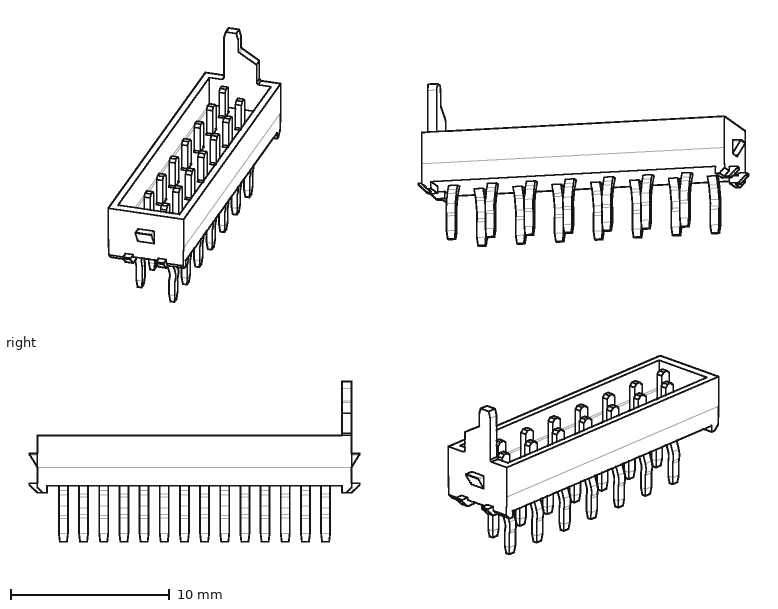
import cadquery as cq
import math

HALF_WIDTH = 2.5
HALF_LENGTH = 9.88
RIM_Z = 3.62
BREAK_Z = 1.62
SIDE_LEAN = 0.052
UNDERSIDE_Z = 0.44
FLOOR_Z = 1.7
CAVITY_HALF_WIDTH = 2.04
FLOOR_FILLET = 0.08
END_WALL = 0.6
CAVITY_HALF_LENGTH = HALF_LENGTH - END_WALL

FOOT_INNER_X = 0.83
FOOT_CHAMFER = 0.33
OVERALL_HALF_LENGTH = 10.4
HOOK_WIDTH = 0.52
HOOK_TOP_Z = 0.6
HOOK_LIP = 0.1
WEDGE_HALF_WIDTH = 0.55
WEDGE_TOP_Z = 2.48
WEDGE_BOTTOM_Z = 1.6
WEDGE_FILLET = 0.073
WEDGE_LIP = 0.05

TAB_HALF_WIDTH = 1.08
TAB_TOP_Z = 7.01
TAB_POST_X = -0.135
TAB_SLOPE_HIGH_Z = 5.75
TAB_SLOPE_LOW_Z = 5.02
TAB_POST_FILLET = 0.1
TAB_TIP_INSET = 0.12
TAB_TIP_HEIGHT = 0.42
TAB_FLARE_WIDTH = 0.1
TAB_FLARE_HEIGHT = 0.12

CONTACT_COUNT = 14
PITCH = 1.27
ROW_X = 0.75
METAL = 0.4
BLADE_LENGTH = 0.7
BLADE_ROOT_Z = 0.83
BLADE_TOP_Z = 3.6
BLADE_TIP_INSET = 0.19
BLADE_TIP_HEIGHT = 0.19
BASE_LENGTH = 0.94
BASE_HEIGHT = 0.08
TAIL_LENGTH = 0.58
TAIL_ROOT = (0.6, 0.6)
TAIL_UPPER_BEND = (1.02, -0.06)
TAIL_LOWER_BEND = (1.37, -1.12)
TAIL_X = 1.3
TAIL_STRAIGHT_Z = -1.58
TAIL_TIP_START_Z = -2.55
TAIL_END_Z = -3.08
TAIL_TIP_INSET = 0.06
BEND_RADIUS = 1.05


def box(x0, x1, y0, y1, z0, z1):
    return cq.Workplane("XY").box(x1 - x0, y1 - y0, z1 - z0, centered=False).translate((x0, y0, z0))


def extrude_along_y(points, y_center, length):
    plane = cq.Workplane("XZ", origin=(0, y_center, 0))
    return plane.polyline(points).close().extrude(length / 2, both=True)


def extrude_along_x(points, x_center, width):
    plane = cq.Workplane("YZ", origin=(x_center, 0, 0))
    return plane.polyline(points).close().extrude(width / 2, both=True)


def make_housing():
    bottom_half_width = HALF_WIDTH - SIDE_LEAN
    section = [
        (-bottom_half_width, 0), (bottom_half_width, 0),
        (HALF_WIDTH, BREAK_Z), (HALF_WIDTH, RIM_Z),
        (-HALF_WIDTH, RIM_Z), (-HALF_WIDTH, BREAK_Z),
    ]
    body = extrude_along_y(section, 0, 2 * HALF_LENGTH)
    body = body.faces("<Z").edges("|X").chamfer(FOOT_CHAMFER)

    body = body.cut(box(-HALF_WIDTH, HALF_WIDTH, -CAVITY_HALF_LENGTH, CAVITY_HALF_LENGTH, 0, UNDERSIDE_Z))
    body = body.cut(box(-FOOT_INNER_X, FOOT_INNER_X, -HALF_LENGTH, HALF_LENGTH, 0, UNDERSIDE_Z))

    cavity = box(
        -CAVITY_HALF_WIDTH, CAVITY_HALF_WIDTH,
        -CAVITY_HALF_LENGTH, CAVITY_HALF_LENGTH,
        FLOOR_Z, RIM_Z,
    )
    return body.cut(cavity.faces("<Z").edges("|Y").fillet(FLOOR_FILLET))


def make_barb(x_center, width, top_z, bottom_z, lip, end):
    """Wedge with a level top that points outward from one end wall (end = +1 or -1)."""
    root = end * CAVITY_HALF_LENGTH
    wall = end * HALF_LENGTH
    tip = end * OVERALL_HALF_LENGTH
    outline = [(root, top_z), (tip, top_z), (tip, top_z - lip), (wall, bottom_z), (root, bottom_z)]
    return extrude_along_x(outline, x_center, width)


def make_tab():
    left = -TAB_HALF_WIDTH
    right = TAB_HALF_WIDTH
    flare_z = RIM_Z + TAB_FLARE_HEIGHT
    tip_z = TAB_TOP_Z - TAB_TIP_HEIGHT
    outline = [
        (left - TAB_FLARE_WIDTH, RIM_Z), (left, flare_z), (left, tip_z),
        (left + TAB_TIP_INSET, TAB_TOP_Z), (TAB_POST_X - TAB_TIP_INSET, TAB_TOP_Z),
        (TAB_POST_X, tip_z), (TAB_POST_X, TAB_SLOPE_HIGH_Z),
        (right, TAB_SLOPE_LOW_Z), (right, flare_z), (right + TAB_FLARE_WIDTH, RIM_Z),
    ]
    center_y = HALF_LENGTH - END_WALL / 2
    tab = extrude_along_y(outline, center_y, END_WALL)
    post_corner = cq.NearestToPointSelector((TAB_POST_X, center_y, TAB_SLOPE_HIGH_Z))
    return tab.edges(post_corner).fillet(TAB_POST_FILLET)


def make_blade():
    half = BLADE_LENGTH / 2
    base_half = BASE_LENGTH / 2
    right_side = [
        (base_half, BLADE_ROOT_Z), (base_half, FLOOR_Z), (half, FLOOR_Z + BASE_HEIGHT),
        (half, BLADE_TOP_Z - BLADE_TIP_HEIGHT), (half - BLADE_TIP_INSET, BLADE_TOP_Z),
    ]
    left_side = [(-y, z) for y, z in reversed(right_side)]
    return extrude_along_x(right_side + left_side, ROW_X, METAL)


def make_tail():
    corners = [
        TAIL_ROOT, TAIL_UPPER_BEND, TAIL_LOWER_BEND,
        (TAIL_X, TAIL_STRAIGHT_Z), (TAIL_X, TAIL_TIP_START_Z),
    ]
    path = cq.Wire.makePolygon([cq.Vector(x, 0, z) for x, z in corners])
    bends = [vertex for vertex in path.Vertices() if vertex.Z in (TAIL_UPPER_BEND[1], TAIL_LOWER_BEND[1])]
    path = path.fillet(BEND_RADIUS, bends)
    root_x, root_z = TAIL_ROOT
    bend_x, bend_z = TAIL_UPPER_BEND
    root_angle = math.degrees(math.atan2(bend_x - root_x, root_z - bend_z))
    root_plane = cq.Workplane("XY", origin=(root_x, 0, root_z)).transformed(rotate=(0, -root_angle, 0))
    strip = root_plane.rect(METAL, TAIL_LENGTH).sweep(path, transition="right")
    tip_height = TAIL_TIP_START_Z - TAIL_END_Z
    tip = (
        cq.Workplane("XY", origin=(TAIL_X, 0, TAIL_TIP_START_Z))
        .rect(METAL, TAIL_LENGTH)
        .extrude(-tip_height, taper=math.degrees(math.atan2(TAIL_TIP_INSET, tip_height)))
    )
    return strip.union(tip)


result = make_housing().union(make_tab())
for end in (-1, 1):
    wedge = make_barb(0, 2 * WEDGE_HALF_WIDTH, WEDGE_TOP_Z, WEDGE_BOTTOM_Z, WEDGE_LIP, end)
    result = result.union(wedge.faces(">Z").edges("|Y").fillet(WEDGE_FILLET))
    for side in (-1, 1):
        hook_x = side * (FOOT_INNER_X + HOOK_WIDTH / 2)
        result = result.union(make_barb(hook_x, HOOK_WIDTH, HOOK_TOP_Z, 0, HOOK_LIP, end))

right_contact = make_blade().union(make_tail())
left_contact = right_contact.mirror("YZ")
for index in range(CONTACT_COUNT):
    contact = right_contact if index % 2 == 0 else left_contact
    contact_y = (index - (CONTACT_COUNT - 1) / 2) * PITCH
    result = result.union(contact.translate((0, contact_y, 0)))